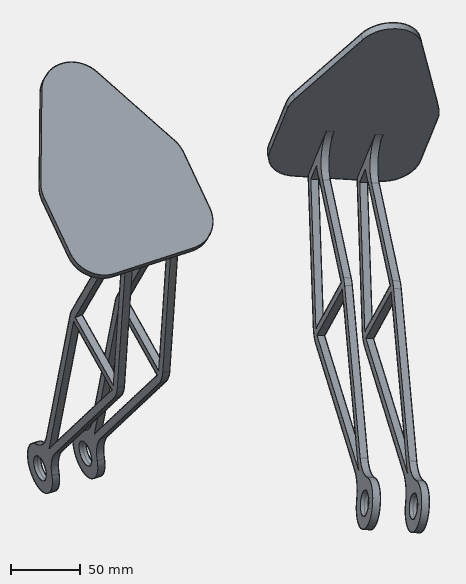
import cadquery as cq
import math

lug_radius = 19.0
hole_diameter = 19.0

arm_thickness = 6.0
arm_offset = 18.5
strut_width = 6.0
blend_radius = 25.0

base = (7.5, 14.5)
knee = (49.0, 170.0)
elbow = (113.5, 144.0)
seat_rear = (109.0, 270.5)
seat_front = (125.7, 261.0)

left_root = (3.5, 18.5)
right_root = (15.5, 10.8)
rear_joint = (104.5, 276.5)

overall_height = 370.8
overall_length = 152.0
seat_slope = 31.0
seat_thickness = 6.0
seat_width = 114.2
taper_angle = 25.4
taper_end = 87.0
seat_corner_radius = 25.0
seat_high_x = -7.5
seat_embed = 3.0

slope = math.radians(seat_slope)
seat_high_z = overall_height - lug_radius
seat_low_x = overall_length - lug_radius
seat_length = (seat_low_x - seat_high_x) / math.cos(slope)


def make_seat():
    """Seat with its top face on the sloping plane, nose at the high end."""
    half_width = seat_width / 2
    taper = math.radians(taper_angle)
    nose_y = seat_corner_radius * math.cos(taper)
    nose_x = seat_corner_radius * (1 - math.sin(taper))
    plane = cq.Plane(
        origin=(seat_high_x, 0, seat_high_z),
        xDir=(math.cos(slope), 0, -math.sin(slope)),
        normal=(math.sin(slope), 0, math.cos(slope)),
    )
    panel = (
        cq.Workplane("XY")
        .moveTo(nose_x, -nose_y)
        .lineTo(taper_end, -half_width)
        .lineTo(seat_length, -half_width)
        .lineTo(seat_length, half_width)
        .lineTo(taper_end, half_width)
        .lineTo(nose_x, nose_y)
        .threePointArc((0, 0), (nose_x, -nose_y))
        .close()
        .extrude(-seat_thickness)
    )
    corners = cq.selectors.BoxSelector(
        (seat_length / 2, -seat_width, -seat_thickness),
        (2 * seat_length, seat_width, seat_thickness),
    )
    panel = panel.edges("|Z").edges(corners).fillet(seat_corner_radius)
    return cq.Workplane(obj=panel.val().moved(plane.location))


def extend(start, end, distance):
    """Point lying a distance beyond end on the line from start."""
    length = math.dist(start, end)
    return tuple(e + (e - s) * distance / length for s, e in zip(start, end))


def prism(nodes, offset):
    """Polygon through the nodes, offset sideways and extruded to arm thickness."""
    return (
        cq.Workplane("XZ")
        .polyline(nodes)
        .close()
        .offset2D(offset, "intersection")
        .extrude(arm_thickness / 2, both=True)
    )


def fillet_near(body, point, radius):
    """Round the cross-arm edge nearest to an (X, Z) point."""
    nearest = cq.selectors.NearestToPointSelector((point[0], 0, point[1]))
    return body.edges("|Y").edges(nearest).fillet(radius)


def make_arm(seat):
    """One truss arm on the symmetry plane, trimmed to the seat underside."""
    half_strut = strut_width / 2
    outline = [
        base,
        knee,
        extend(knee, seat_rear, seat_embed),
        extend(elbow, seat_front, seat_embed),
        elbow,
    ]
    lug = cq.Workplane("XZ").circle(lug_radius).extrude(arm_thickness / 2, both=True)
    strip = seat.intersect(cq.Workplane("XY").box(
        overall_height, arm_thickness, 2 * overall_height))
    arm = prism(outline, half_strut).union(lug).union(strip)
    for corner in (knee, elbow, left_root, right_root, rear_joint):
        arm = fillet_near(arm, corner, blend_radius)

    arm = arm.cut(prism([base, knee, elbow], -half_strut))
    arm = arm.cut(prism([knee, seat_rear, seat_front, elbow], -half_strut))
    hole = cq.Workplane("XZ").circle(hole_diameter / 2).extrude(arm_thickness, both=True)
    return arm.cut(hole).cut(seat)


seat = make_seat()
arm = make_arm(seat)
result = seat
for side in (-1, 1):
    result = result.union(arm.translate((0, side * arm_offset, 0)))